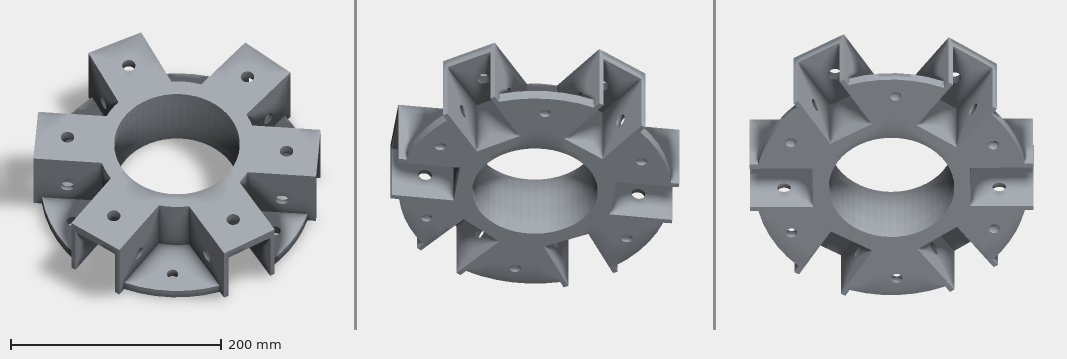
import cadquery as cq
import math

length_y = 271.8
height = 70.0
bore_radius = 59.8
hub_radius = 75.0

flange_radius = 130.0
flange_thickness = 10.0
flange_hole_diameter = 10.5
flange_hole_circle = 109.8

lead_angle = 35.3
near_spread = 54.7
far_spread = 120.6
arm_angles = [
    lead_angle + offset
    for offset in (0, near_spread, far_spread, 180, 360 - far_spread, 360 - near_spread)
]

arm_width = 56.0
arm_wall = 5.0
arm_roof = 10.0
channel_start = hub_radius
channel_width = arm_width - 2 * arm_wall
channel_height = height - arm_roof

lean = math.radians(lead_angle + 360 - far_spread - 270)
arm_reach = (length_y - arm_width / 2 * math.sin(lean)) / (1 + math.cos(lean))

bolt_diameter = 12.8
roof_bolt_radius = 104.7
side_bolt_radius = 102.5
side_bolt_height = 30.0


def turned(body, angle):
    """Turn a body about the ring axis."""
    return body.rotate((0, 0, 0), (0, 0, 1), angle)


def radial_box(inner, outer, width, box_height):
    """A box standing on the base plane, running outwards along +X."""
    return (
        cq.Workplane("XY")
        .box(outer - inner, width, box_height, centered=(False, True, False))
        .translate((inner, 0, 0))
    )


def vertical_hole(radius, diameter):
    """A full-height cutter for a hole at a distance from the ring axis."""
    return cq.Workplane("XY").center(radius, 0).circle(diameter / 2).extrude(height)


def arm_cutter():
    """The channel of one arm with its roof hole and cross hole."""
    channel = radial_box(channel_start, 2 * arm_reach, channel_width, channel_height)
    cross_hole = (
        cq.Workplane("XZ")
        .center(side_bolt_radius, side_bolt_height)
        .circle(bolt_diameter / 2)
        .extrude(arm_width / 2, both=True)
    )
    return channel.union(vertical_hole(roof_bolt_radius, bolt_diameter)).union(cross_hole)


result = cq.Workplane("XY").circle(hub_radius).extrude(height)
result = result.union(cq.Workplane("XY").circle(flange_radius).extrude(flange_thickness))
for angle in arm_angles:
    result = result.union(turned(radial_box(0, arm_reach, arm_width, height), angle))

result = result.cut(vertical_hole(0, 2 * bore_radius))

for angle in arm_angles:
    result = result.cut(turned(arm_cutter(), angle))

for angle, next_angle in zip(arm_angles, arm_angles[1:] + [arm_angles[0] + 360]):
    middle = (angle + next_angle) / 2
    result = result.cut(turned(vertical_hole(flange_hole_circle, flange_hole_diameter), middle))